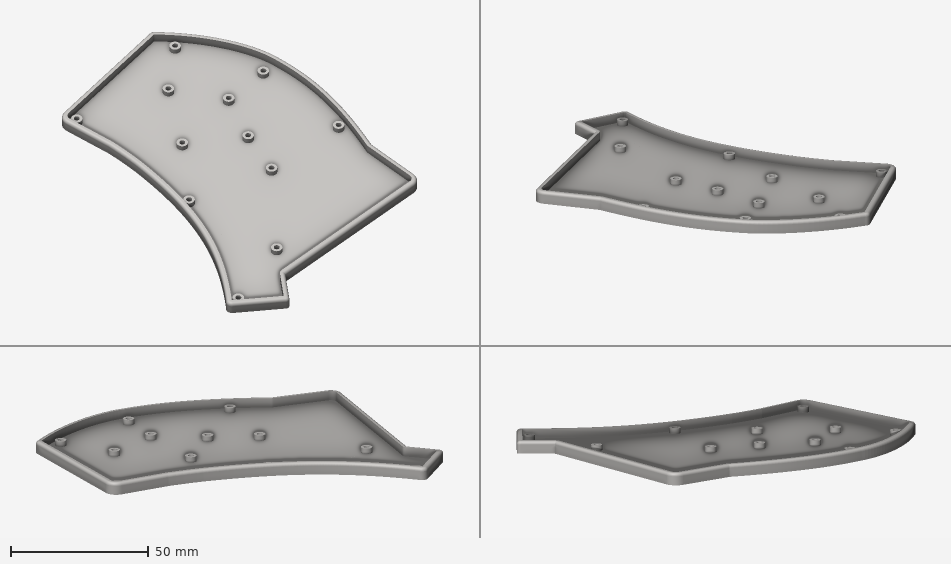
import cadquery as cq
height = 4.6
floor_thickness = 1.1
wall_thickness = 2.0
rim_fillet = 1.2

boss_diameter = 4.2
boss_hole_diameter = 2.2
boss_height = 2.0
boss_centers = [
    (10.6, 82.3),
    (42.5, 95.9),
    (81.9, 95.3),
    (43.7, 76.9),
    (24.7, 64.8),
    (62.5, 68.2),
    (80.5, 62.2),
    (48.3, 48.5),
    (12.4, 30.1),
    (71.1, 29.3),
    (111.3, 34.3),
    (120.0, 5.9),
]

upper_left_corner = (0.0, 80.8)
lower_left_corner = (7.9, 24.6)
lower_tip_corner = (120.7, -0.8)
right_tip_corner = (135.0, 17.5)
right_notch_corner = (124.1, 26.1)
upper_right_corner = (124.1, 96.0)

corner_radii = [
    (upper_left_corner, 2.2),
    (lower_left_corner, 4.2),
    (lower_tip_corner, 2.2),
    (right_tip_corner, 1.3),
    (upper_right_corner, 4.2),
]

lower_lead_in = [(31.3, 27.7), (36.7, 28.0), (40.7, 28.0), (45.0, 27.8)]
lower_lead_in_facets = 5
lower_sweep = [(45.0, 27.8), (77.0, 26.0), (97.2, 18.5), (118.6, 1.1)]
lower_sweep_facets = 72
upper_right_sweep = [(98.3, 96.0), (73.1, 104.7), (57.0, 105.7), (43.4, 104.0)]
upper_right_sweep_facets = 49
upper_left_sweep = [(43.4, 104.0), (30.0, 103.1), (13.5, 93.6), (1.2, 81.7)]
upper_left_sweep_facets = 26


def bezier_point(controls, t):
    """Point of a cubic Bezier curve at parameter t."""
    weights = ((1 - t) ** 3, 3 * t * (1 - t) ** 2, 3 * t**2 * (1 - t), t**3)
    x = sum(weight * point[0] for weight, point in zip(weights, controls))
    y = sum(weight * point[1] for weight, point in zip(weights, controls))
    return (x, y)


def faceted_curve(controls, facets):
    """Facet ends along a Bezier curve, leaving out its first point."""
    return [bezier_point(controls, i / facets) for i in range(1, facets + 1)]


def outline_points():
    """The outline, counter-clockwise from the upper left corner."""
    points = [upper_left_corner, lower_left_corner, lower_lead_in[0]]
    points += faceted_curve(lower_lead_in, lower_lead_in_facets)
    points += faceted_curve(lower_sweep, lower_sweep_facets)
    points += [lower_tip_corner, right_tip_corner, right_notch_corner, upper_right_corner]
    points.append(upper_right_sweep[0])
    points += faceted_curve(upper_right_sweep, upper_right_sweep_facets)
    points += faceted_curve(upper_left_sweep, upper_left_sweep_facets)
    return points


def outer_block():
    """Solid plate with rounded corners."""
    block = cq.Workplane("XY").polyline(outline_points()).close().extrude(height)
    for (x, y), radius in corner_radii:
        corner_edge = cq.selectors.NearestToPointSelector((x, y, height / 2))
        block = block.edges("|Z").edges(corner_edge).fillet(radius)
    return block


def tray():
    """Plate hollowed to a constant wall, with a fillet around the outside of the rim."""
    block = outer_block()
    inner_wires = block.faces("<Z").wires().val().offset2D(-wall_thickness)
    pocket = cq.Workplane("XY").newObject(inner_wires).toPending().extrude(height)
    pocket = pocket.translate((0, 0, floor_thickness))
    return block.faces(">Z").edges().fillet(rim_fillet).cut(pocket)


def bosses():
    return (
        cq.Workplane("XY", origin=(0, 0, floor_thickness))
        .pushPoints(boss_centers)
        .circle(boss_diameter / 2)
        .circle(boss_hole_diameter / 2)
        .extrude(boss_height)
    )


result = tray().union(bosses())